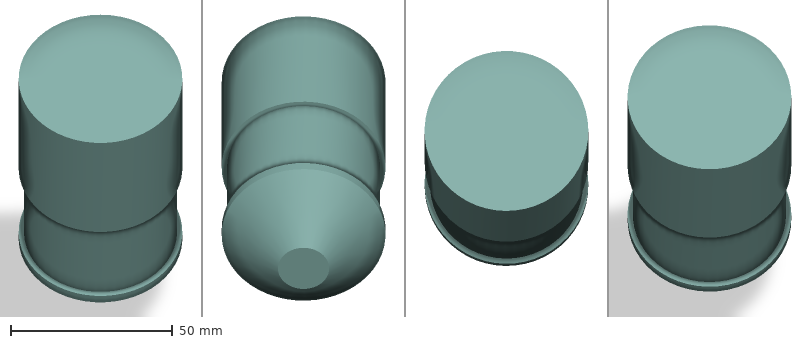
import cadquery as cq

total_length = 97.0
body_diameter = 50.8

tip_diameter = 15.9
cone_height = (body_diameter - tip_diameter) / 2
collar_height = 3.2
neck_diameter = 47.5
body_length = 44.4

collar_top = cone_height + collar_height
body_bottom = total_length - body_length

body_radius = body_diameter / 2
neck_radius = neck_diameter / 2
tip_radius = tip_diameter / 2

profile = (
    cq.Workplane("XZ")
    .lineTo(tip_radius, 0)
    .lineTo(body_radius, cone_height)
    .lineTo(body_radius, collar_top)
    .lineTo(neck_radius, collar_top)
    .lineTo(neck_radius, body_bottom)
    .lineTo(body_radius, body_bottom)
    .lineTo(body_radius, total_length)
    .lineTo(0, total_length)
    .close()
)

result = profile.revolve(360, (0, 0, 0), (0, 1, 0))